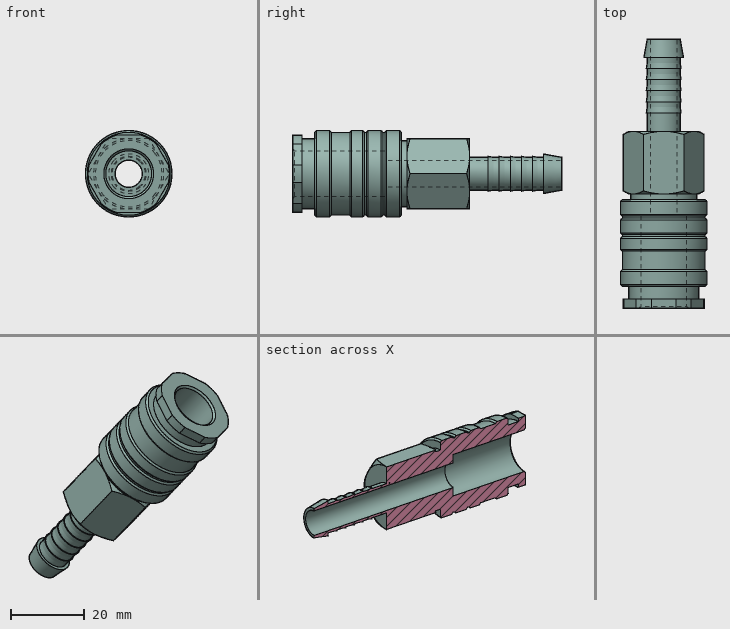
import cadquery as cq
import math


length = 73.0
sleeve_radius = 11.75
hexagon_sides = 6

flange_radius = 11.0
flange_flats = 21.0
flange_length = 2.6

front_neck_radius = 9.5
sleeve_start = 6.0
sleeve_end = 29.5
edge_chamfer = 0.5
waist_radius = 11.25
waist_start = 10.5
waist_end = 15.5
groove_radius = 11.25
groove_width = 1.5
groove_centers = (19.75, 24.75)

rear_neck_radius = 9.0
nut_start = 31.0
nut_end = 48.0
nut_flats = 19.0
nut_chamfer_angle = 30.0

stem_radius = 4.5
rib_radius = 4.75
rib_length = 1.5
rib_pitch = 3.0
rib_count = 5
first_rib = 53.0
barb_radius = 5.4
barb_start = first_rib + rib_count * rib_pitch

bore_radius = 3.65
socket_radius = 6.2
socket_mouth_radius = 6.75
socket_depth = 25.0


def revolve_profile(points):
    """Turn (radius, y) points about the Y axis."""
    return cq.Workplane("XY").polyline(points).close().revolve(360, (0, 0, 0), (0, 1, 0))


def cylinder(radius, start, end):
    return revolve_profile([(0, start), (radius, start), (radius, end), (0, end)])


def across_corners(flats):
    """Corner-to-corner size of a hexagon from its size across flats."""
    return flats / math.cos(math.pi / hexagon_sides)


def hexagon(flats, start, end):
    """Hexagonal prism along Y with flats facing +Z and -Z."""
    plane = cq.Workplane("XZ", origin=(0, start, 0))
    return plane.polygon(hexagon_sides, across_corners(flats)).extrude(start - end)


def make_flange():
    disc = cylinder(flange_radius, 0, flange_length)
    return disc.intersect(hexagon(flange_flats, 0, flange_length))


def make_groove(center):
    """Ring groove cutter with 45 degree sides and a narrow flat floor."""
    depth = sleeve_radius - groove_radius
    half_top = groove_width / 2
    half_floor = half_top - depth
    return revolve_profile([
        (sleeve_radius, center - half_top),
        (groove_radius, center - half_floor),
        (groove_radius, center + half_floor),
        (sleeve_radius, center + half_top),
    ])


def make_sleeve():
    chamfered_radius = sleeve_radius - edge_chamfer
    waist_chamfer = sleeve_radius - waist_radius
    sleeve = revolve_profile([
        (0, sleeve_start),
        (chamfered_radius, sleeve_start),
        (sleeve_radius, sleeve_start + edge_chamfer),
        (sleeve_radius, waist_start - waist_chamfer),
        (waist_radius, waist_start),
        (waist_radius, waist_end),
        (sleeve_radius, waist_end + waist_chamfer),
        (sleeve_radius, sleeve_end - edge_chamfer),
        (chamfered_radius, sleeve_end),
        (0, sleeve_end),
    ])
    for center in groove_centers:
        sleeve = sleeve.cut(make_groove(center))
    return sleeve


def make_nut():
    """Hexagon whose corners are rounded off by a cone at each end."""
    face_radius = nut_flats / 2
    corner_radius = across_corners(nut_flats) / 2
    drop = (corner_radius - face_radius) * math.tan(math.radians(nut_chamfer_angle))
    envelope = revolve_profile([
        (0, nut_start),
        (face_radius, nut_start),
        (corner_radius, nut_start + drop),
        (corner_radius, nut_end - drop),
        (face_radius, nut_end),
        (0, nut_end),
    ])
    return hexagon(nut_flats, nut_start, nut_end).intersect(envelope)


def make_cone(start_radius, end_radius, start, end):
    return revolve_profile([(0, start), (start_radius, start), (end_radius, end), (0, end)])


def make_hose_tail():
    tail = cylinder(stem_radius, nut_end, length)
    for index in range(rib_count):
        start = first_rib + index * rib_pitch
        tail = tail.union(make_cone(rib_radius, stem_radius, start, start + rib_length))
    return tail.union(make_cone(barb_radius, stem_radius, barb_start, length))


def make_bores():
    mouth_chamfer = socket_mouth_radius - socket_radius
    socket = cylinder(socket_radius, 0, socket_depth)
    mouth = make_cone(socket_mouth_radius, socket_radius, 0, mouth_chamfer)
    return cylinder(bore_radius, 0, length).union(socket).union(mouth)


result = (
    make_flange()
    .union(cylinder(front_neck_radius, flange_length, sleeve_start))
    .union(make_sleeve())
    .union(cylinder(rear_neck_radius, sleeve_end, nut_start))
    .union(make_nut())
    .union(make_hose_tail())
    .cut(make_bores())
)